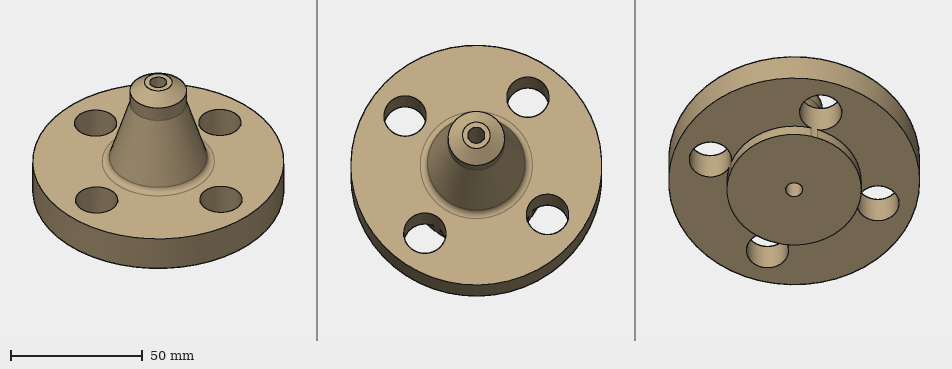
import cadquery as cq

total_height = 57.9

flange_diameter = 95.2
flange_thickness = 14.3
face_diameter = 50.9
face_height = 5.5

hub_base_diameter = 38.3
hub_fillet_radius = 2.9
neck_diameter = 21.4
neck_height = 6.0

bevel_height = 4.0
tip_diameter = 10.5
bore_diameter = 6.4

bolt_count = 4
bolt_hole_diameter = 16.0
bolt_circle_diameter = 66.7

flange_top = face_height + flange_thickness
bevel_bottom = total_height - bevel_height
neck_bottom = bevel_bottom - neck_height


def flange_body():
    """Solid of revolution: raised face, plate, tapered hub, neck and bevel."""
    half_section = (
        cq.Workplane("XZ")
        .moveTo(0, 0)
        .lineTo(face_diameter / 2, 0)
        .lineTo(face_diameter / 2, face_height)
        .lineTo(flange_diameter / 2, face_height)
        .lineTo(flange_diameter / 2, flange_top)
        .lineTo(hub_base_diameter / 2, flange_top)
        .lineTo(neck_diameter / 2, neck_bottom)
        .lineTo(neck_diameter / 2, bevel_bottom)
        .lineTo(tip_diameter / 2, total_height)
        .lineTo(0, total_height)
        .close()
    )
    return half_section.revolve(360, (0, 0, 0), (0, 1, 0))


def fillet_hub_base(body):
    """Round the corner where the hub meets the top of the plate."""
    half_width = hub_base_diameter / 2 + hub_fillet_radius
    hub_base_zone = cq.selectors.BoxSelector(
        (-half_width, -half_width, flange_top - hub_fillet_radius / 2),
        (half_width, half_width, flange_top + hub_fillet_radius / 2),
        boundingbox=True,
    )
    return body.edges(hub_base_zone).fillet(hub_fillet_radius)


def bore():
    """Pipe bore running through the whole part."""
    return cq.Workplane("XY").circle(bore_diameter / 2).extrude(total_height)


def bolt_holes():
    """Bolt holes on the X and Y axes, cut from the raised face level upward."""
    return (
        cq.Workplane("XY")
        .polarArray(bolt_circle_diameter / 2, 0, 360, bolt_count)
        .circle(bolt_hole_diameter / 2)
        .extrude(flange_top)
    )


result = fillet_hub_base(flange_body()).cut(bore()).cut(bolt_holes())